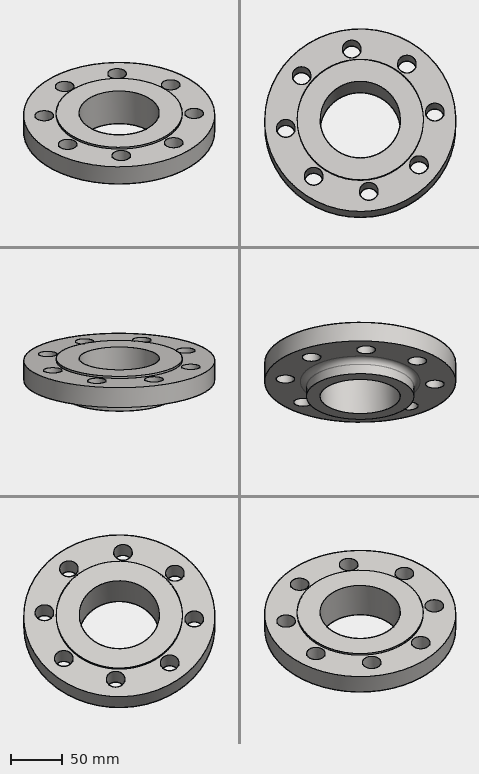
import cadquery as cq

flange_diameter = 185.0
flange_thickness = 20.0
total_height = 38.0

face_diameter = 122.1
face_height = 2.0
hub_diameter = 104.0
hub_height = total_height - flange_thickness - face_height
hub_fillet_radius = 6.0

bore_diameter = 77.5
bolt_hole_diameter = 18.0
bolt_circle_diameter = 145.0
bolt_count = 8
first_bolt_angle = 360 / bolt_count / 2

flange_bottom = hub_height
flange_top = flange_bottom + flange_thickness


def disc(diameter, bottom, height):
    """Solid disc about the Z axis, starting at the given height."""
    return cq.Workplane("XY", origin=(0, 0, bottom)).circle(diameter / 2).extrude(height)


def hub_fillet():
    """Concave ring blending the hub wall into the underside of the flange."""
    hub_radius = hub_diameter / 2
    outer_radius = hub_radius + hub_fillet_radius
    fillet_bottom = flange_bottom - hub_fillet_radius
    return (
        cq.Workplane("XZ")
        .moveTo(0, fillet_bottom)
        .lineTo(hub_radius, fillet_bottom)
        .radiusArc((outer_radius, flange_bottom), hub_fillet_radius)
        .lineTo(0, flange_bottom)
        .close()
        .revolve(360, (0, 0, 0), (0, 1, 0))
    )


def bolt_holes():
    """Cutters for the ring of bolt holes."""
    return (
        cq.Workplane("XY")
        .polarArray(bolt_circle_diameter / 2, first_bolt_angle, 360, bolt_count)
        .circle(bolt_hole_diameter / 2)
        .extrude(total_height)
    )


hub = disc(hub_diameter, 0, hub_height)
flange = disc(flange_diameter, flange_bottom, flange_thickness)
raised_face = disc(face_diameter, flange_top, face_height)
bore = disc(bore_diameter, 0, total_height)

body = flange.union(hub).union(hub_fillet()).union(raised_face)
result = body.cut(bore).cut(bolt_holes())